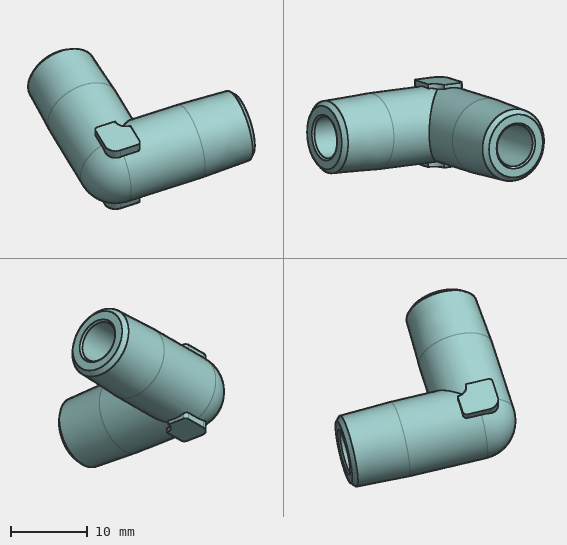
import cadquery as cq
import math

body_diameter = 10.0
bore_diameter = 5.5
overall_length = 23.0
overall_height = 11.0

taper_length = 7.5
taper_angle = 2.0
tip_chamfer = 0.6

mouth_chamfer = 0.25

pad_left = -2.375
pad_length_x = 5.0
pad_front = -2.0
pad_length_y = 4.5
pad_notch_radius = 1.5
pad_outer_radius = 1.5
pad_small_radius = 0.5

body_radius = body_diameter / 2
bore_radius = bore_diameter / 2
arm_length = overall_length - body_radius
cone_length = taper_length - tip_chamfer
cone_end_radius = body_radius - cone_length * math.tan(math.radians(taper_angle))


def revolved_arm(profile):
    """Revolve (radius, distance from elbow) points about Y to make the +Y arm."""
    return cq.Workplane("XY").polyline(profile).close().revolve(360, (0, 0), (0, 1))


def both_arms(arm):
    """Join a +Y arm with its copy turned onto the -X axis."""
    return arm.union(arm.rotate((0, 0, 0), (0, 0, 1), 90))


def make_outside():
    arm = revolved_arm([
        (0, 0),
        (body_radius, 0),
        (body_radius, arm_length - taper_length),
        (cone_end_radius, arm_length - tip_chamfer),
        (cone_end_radius - tip_chamfer, arm_length),
        (0, arm_length),
    ])
    return both_arms(arm).union(cq.Workplane("XY").sphere(body_radius))


def make_bore():
    arm = revolved_arm([
        (0, 0),
        (bore_radius, 0),
        (bore_radius, arm_length - mouth_chamfer),
        (bore_radius + mouth_chamfer, arm_length),
        (0, arm_length),
    ])
    return both_arms(arm).union(cq.Workplane("XY").sphere(bore_radius))


def make_pads():
    """One block through the elbow forms both pads; its notch faces the inner corner."""
    pad_right = pad_left + pad_length_x
    pad_back = pad_front + pad_length_y
    block = (
        cq.Workplane("XY")
        .box(pad_length_x, pad_length_y, overall_height, centered=(False, False, True))
        .translate((pad_left, pad_front, 0))
    )
    rounded_corners = [
        (pad_right, pad_front, pad_outer_radius),
        (pad_left, pad_front, pad_small_radius),
        (pad_right, pad_back, pad_small_radius),
    ]
    for x, y, radius in rounded_corners:
        corner_edge = cq.selectors.NearestToPointSelector((x, y, 0))
        block = block.edges(corner_edge).fillet(radius)
    notch = (
        cq.Workplane("XY")
        .center(pad_left, pad_back)
        .circle(pad_notch_radius)
        .extrude(overall_height / 2, both=True)
    )
    return block.cut(notch)


result = make_outside().union(make_pads()).cut(make_bore())